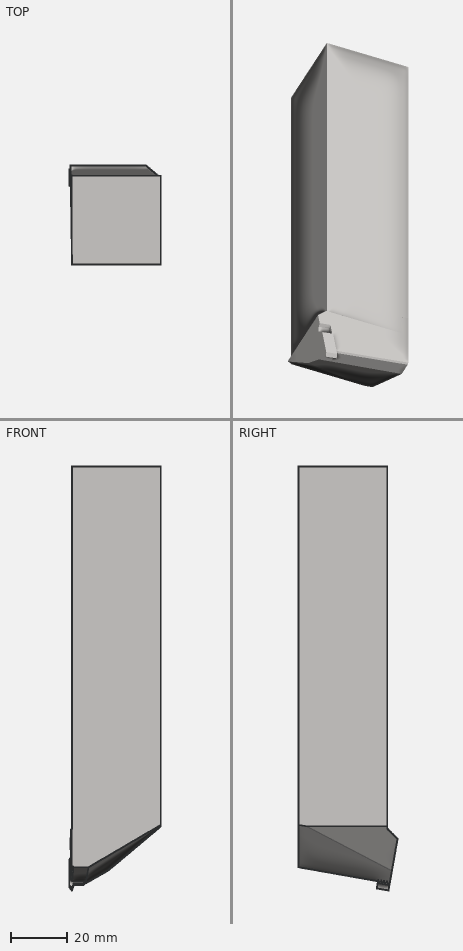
import cadquery as cq
import math

shank_size = 31.75
shank_top = 151.38

tilt = 10.0

nose_y = 35.44
nose_z = 18.45
sin_tilt = math.sin(math.radians(tilt))
cos_tilt = math.cos(math.radians(tilt))
rake_v = nose_y * cos_tilt - nose_z * sin_tilt
tip_w = rake_v * math.tan(math.radians(tilt))

flank_angle = 0.87
flank_pivot_v = -2.0
flank_top_w = 29.9
step_z = nose_z + nose_y - shank_size

head_bottom_w = 8.2
flank_chamfer = 0.55

front_bevel_angle = 30.0
front_bevel_relief = 9.0
front_bevel_x = 5.9
back_bevel_angle = 40.0
bevel_corner_z = 22.95

insert_side_x = -1.0
insert_back_x = 5.3
insert_thickness = 4.3
tip_side_height = 1.3
tip_half_width = 0.65
shoulder_height = 1.95
shoulder_end_x = 4.0
insert_edge_w = 16.1
insert_end_w = 18.3

gap_floor_x = 1.4
gap_bend_x = 0.6
gap_bend_w = 19.8
gap_top_w = 21.0

margin = 10.0


def flank_x(v):
    """X of the leaning flank plane at a place v across the head."""
    return (flank_pivot_v - v) * math.tan(math.radians(flank_angle))


def lean(body, angle=tilt):
    """Turn a body about the X axis from an upright frame into the tilted one."""
    return body.rotate((0, 0, 0), (1, 0, 0), -angle)


def prism_across(points, v_start, v_end):
    """Extrude an (x, w) outline from v_start to v_end."""
    plane = cq.Workplane("XZ", origin=(0, v_start, 0))
    return plane.polyline(points).close().extrude(v_start - v_end)


def make_shank():
    return cq.Workplane("XY").box(shank_size, shank_size, shank_top, centered=False)


def make_head():
    """Block with the leaning flank, kept below the 45 degree slopes of the nose and the step."""
    section = [
        (0, flank_pivot_v),
        (flank_x(rake_v), rake_v),
        (shank_size, rake_v),
        (shank_size, flank_pivot_v),
    ]
    block = lean(cq.Workplane("XY").polyline(section).close().extrude(flank_top_w))
    side_outline = [
        (0, 0),
        (0, step_z),
        (shank_size, step_z),
        (nose_y, nose_z),
        (nose_y, 0),
    ]
    envelope = cq.Workplane("YZ", origin=(-margin, 0, 0)).polyline(side_outline).close()
    head = block.intersect(envelope.extrude(shank_size + 2 * margin))
    step_outline = [
        (0, step_z),
        (-margin, step_z),
        (-margin, step_z - margin),
    ]
    return head.cut(prism_across(step_outline, -margin, nose_y + margin))


def flank_clearance():
    """Thin wedge where the flank plane runs into the shank, beside the -Y face."""
    low_v = flank_pivot_v - margin
    section = [
        (0, flank_pivot_v),
        (flank_x(low_v), low_v),
        (-margin, low_v),
        (-margin, flank_pivot_v),
    ]
    return lean(cq.Workplane("XY").polyline(section).close().extrude(flank_top_w))


def bottom_cut():
    """Block below the flat underside of the head."""
    outline = [
        (-margin, -margin),
        (-margin, head_bottom_w),
        (shank_size + margin, head_bottom_w),
        (shank_size + margin, -margin),
    ]
    return lean(prism_across(outline, -margin, nose_y + margin))


def flank_edge_cut():
    """Chamfer along the edge where the leaning flank meets the underside."""
    outline = [
        (-margin, head_bottom_w - margin),
        (-margin, head_bottom_w + flank_chamfer + margin),
        (flank_chamfer + margin, head_bottom_w - margin),
    ]
    block = prism_across(outline, -margin, nose_y + margin)
    turn_axis = (0, flank_pivot_v, 0), (0, flank_pivot_v, 1)
    return lean(block.rotate(*turn_axis, flank_angle))


def bevel_cut(angle, through_x, through_z):
    """Block below a slope that rises toward +X through a given point."""
    slope = math.tan(math.radians(angle))
    left_x = -margin
    right_x = shank_size + margin
    floor_z = -shank_size
    outline = [
        (left_x, floor_z),
        (left_x, through_z + slope * (left_x - through_x)),
        (right_x, through_z + slope * (right_x - through_x)),
        (right_x, floor_z),
    ]
    return prism_across(outline, -margin, nose_y + margin)


def make_insert():
    """Insert with a pointed tip, a chamfered back corner and a sloped upper end."""
    shoulder_w = tip_w + shoulder_height
    outline = [
        (0, tip_w),
        (tip_half_width, shoulder_w),
        (shoulder_end_x, shoulder_w),
        (insert_back_x, shoulder_w + insert_back_x - shoulder_end_x),
        (insert_back_x, insert_end_w),
        (gap_floor_x, insert_end_w),
        (insert_side_x, insert_edge_w),
        (insert_side_x, tip_w + tip_side_height),
    ]
    return lean(prism_across(outline, rake_v - insert_thickness, rake_v))


def chip_gap():
    """Recess above the insert: a slope from its upper end, then a steeper one to the flank."""
    outline = [
        (insert_side_x, insert_edge_w),
        (gap_floor_x, insert_end_w),
        (gap_bend_x, gap_bend_w),
        (insert_side_x, gap_top_w),
    ]
    return lean(prism_across(outline, rake_v - insert_thickness, rake_v))


insert = make_insert()
holder = make_shank().union(make_head())
holder = holder.cut(flank_clearance())
holder = holder.cut(bottom_cut())
holder = holder.cut(flank_edge_cut())
front_bevel_w = head_bottom_w * math.cos(math.radians(front_bevel_relief)) / cos_tilt
holder = holder.cut(lean(bevel_cut(front_bevel_angle, front_bevel_x, front_bevel_w), front_bevel_relief))
holder = holder.cut(bevel_cut(back_bevel_angle, shank_size, bevel_corner_z))
holder = holder.cut(chip_gap()).cut(insert)

result = cq.Compound.makeCompound([holder.val(), insert.val()])